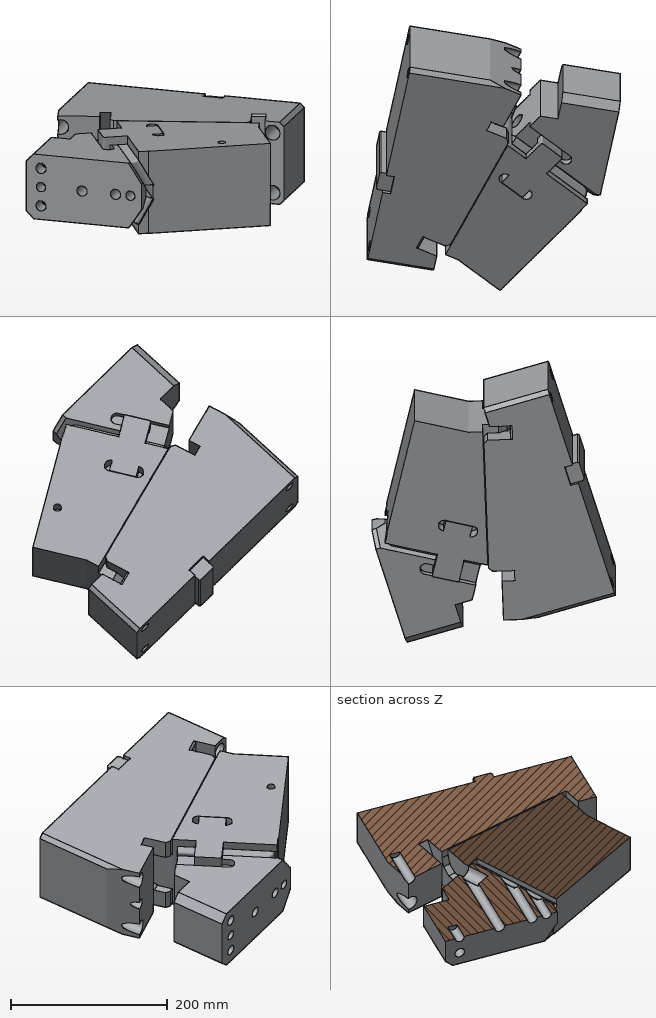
import cadquery as cq
import math

SIN_30 = 0.5
COS_30 = math.cos(math.radians(30))
TAN_30 = SIN_30 / COS_30
BEYOND = 612.0

BLOCK_ANGLE = math.radians(15)
DRIVE = cq.Plane(origin=(0, 0, 0), xDir=(SIN_30, -COS_30, 0), normal=(0, 0, 1))
SLIDE = cq.Plane(origin=(0, 0, 0), xDir=(math.cos(BLOCK_ANGLE), math.sin(BLOCK_ANGLE), 0), normal=(0, 0, 1))

HALF_HEIGHT = 55.0
BLOCK_LENGTH = 295.3
BLOCK_BACK_Y = 275.5
BLOCK_RIGHT_FRONT_Y = 189.5
BLOCK_CHAMFER = 5.5
NOSE_ALONG = 44.5
NOSE_OUT = 121.5
LEFT_SLOT_START = 98.0
LEFT_SLOT_END = 111.7
LEFT_SLOT_OUT = 138.0
RIGHT_SLOT_START = 291.5
RIGHT_SLOT_END = 310.0
RIGHT_SLOT_OUT = 139.2
RIGHT_SLOT_CHAMFER = 2.8
PAD_CHAMFER = 5.0

KEY_LEFT = 162.8
KEY_WIDTH = 26.0
KEY_SEAT_Y = 265.0
KEY_BACK_Y = 284.0
KEY_HALF_HEIGHT = 50.0
KEY_CHAMFER = 1.8

HOLE_INSET = 15.0
SCREW_RADIUS = 6.5
SCREW_HEAD_RADIUS = 9.8
SCREW_HEAD_SEAT_Y = 229.5
DOWEL_RADIUS = 6.7
DOWEL_END_Y = 183.5

RAIL_BASE_OUT = 104.0
RAIL_SIDE_OUT = 124.0
RAIL_BEVEL_OUT = 135.0
RAIL_TOP_OUT = 139.0
RAIL_HALF_HEIGHT = 29.0
RAIL_BEVEL_HALF = 21.5
RAIL_CROWN_HALF = 9.2
RAIL_GAP = 1.0

DRIVER_LEFT = 10.5
DRIVER_RIGHT = 165.2
DRIVER_HALF_HEIGHT = 43.5
DRIVER_CHAMFER = 10.0
DRIVER_STEP_X = 45.3
DRIVER_STEP_Y = 74.7
DRIVER_END_ALONG = -61.8
ROOF_EDGE_OUT = 131.0
ROOF_CREST_HALF = 7.0
BEVEL_END_Y = 6.0
SPRING_RADIUS = 10.0
SPRING_OUT = 133.5
SPRING_DEPTH = 30.5

FRONT_SCREW_RADIUS = 6.7
FRONT_DOWEL_RADIUS = 6.0
FRONT_COLUMN = 20.0
FRONT_COLUMN_SPACING = 25.0
FRONT_COLUMN_DEPTH = 24.5
FRONT_SCREWS = (75.0, 120.0)
FRONT_DOWEL = 139.8

SLIDER_FRONT_OUT = 143.2
SLIDER_FAR_OUT = 315.0
SLIDER_END_ALONG = 66.0
SLIDER_STEP = 1.0
SLIDER_STEP_OUT = 155.7
SLIDER_LEFT_ALONG = 121.0
SLIDER_RIGHT_ALONG = 303.2
SLIDER_HOLE_X = 245.5
SLIDER_HOLE_Y = 85.7
SLIDER_HOLE_RADIUS = 5.0
SLIDER_HOLE_DEPTH = 20.0

PLATE_START = -62.5
PLATE_END = 62.0
PLATE_THICKNESS = 10.7
PLATE_EDGE_Z = 38.5
PLATE_INNER_Z = 9.5
PLATE_END_RADIUS = 10.0
PLATE_EDGE_RADIUS = 3.0
LAND_OUT = 161.5
LAND_HALF = 8.5

STRAP_START = -38.5
STRAP_END = -3.7
STRAP_TIP_OUT = 112.0
STRAP_LIP = 8.5
STRAP_BOTTOM = 44.0
STRAP_CORNER = 2.0
STRAP_GAP = 0.5
SLOT_WIDTH = 14.7
SLOT_FLOOR = 33.7
DRIVER_SLOT_OUT = 108.5
DRIVER_SLOT_END = 13.0
SLIDER_SLOT_OUT = 176.2
SLIDER_SLOT_OVERRUN = 8.0


def at(frame, along, out):
    """The (x, y) of a place given in a guide frame."""
    point = frame.toWorldCoords((along, out, 0))
    return (point.x, point.y)


def x_on_line(frame, out, y):
    """X where the line of constant out passes a given Y."""
    return (out - y * frame.yDir.y) / frame.yDir.x


def y_on_end(frame, along, x):
    """Y where the line of constant along passes a given X."""
    return (along - x * frame.xDir.x) / frame.xDir.y


def where_frames_cross(slide_along, drive_out):
    """The (x, y) where a constant-along line of SLIDE meets a constant-out line of DRIVE."""
    a, b = SLIDE.xDir, DRIVE.yDir
    cross = a.x * b.y - a.y * b.x
    x = (slide_along * b.y - drive_out * a.y) / cross
    y = (drive_out * a.x - slide_along * b.x) / cross
    return (x, y)


def prism(outline, half_height):
    return cq.Workplane("XY").polyline(outline).close().extrude(half_height, both=True)


def mirrored_section(upper_half):
    return upper_half + [(first, -z) for first, z in reversed(upper_half)]


def along_guide(frame, section, start=-BEYOND, end=BEYOND):
    """Extrude an (out, z) section along a guide."""
    plane = cq.Plane(origin=frame.toWorldCoords((start, 0, 0)), xDir=frame.yDir, normal=frame.xDir)
    return cq.Workplane(plane).polyline(section).close().extrude(end - start)


def drive_box(along_start, along_end, out_start, out_end, bottom):
    """A box in the drive frame that reaches from bottom up to the top of the slider."""
    section = [(out_start, bottom), (out_end, bottom), (out_end, HALF_HEIGHT), (out_start, HALF_HEIGHT)]
    return along_guide(DRIVE, section, along_start, along_end)


def slot_end(along, out_centre):
    return (
        cq.Workplane("XY", origin=(*at(DRIVE, along, out_centre), SLOT_FLOOR))
        .circle(SLOT_WIDTH / 2)
        .extrude(HALF_HEIGHT - SLOT_FLOOR)
    )


def y_hole(x, z, radius, end):
    """A round hole along Y, from the front of the unit to end."""
    return cq.Workplane("XZ", origin=(x, 0, z)).circle(radius).extrude(-end)


def top_and_bottom(shape):
    return shape.union(shape.mirror("XY"))


def rail_section(gap):
    """The rail, grown by a gap, from the slide face up to its crown."""
    return mirrored_section([
        (0, RAIL_HALF_HEIGHT + gap),
        (RAIL_SIDE_OUT + gap, RAIL_HALF_HEIGHT + gap),
        (RAIL_BEVEL_OUT + gap, RAIL_BEVEL_HALF + gap),
        (RAIL_TOP_OUT + gap, RAIL_CROWN_HALF + gap),
    ])


def roof_out(z):
    """Out position of a driver roof flank at height z."""
    return ROOF_EDGE_OUT + (DRIVER_HALF_HEIGHT - z) * TAN_30


def block_body():
    pad_out = RAIL_BASE_OUT + RAIL_GAP
    right_lug_x = (RIGHT_SLOT_END - BLOCK_RIGHT_FRONT_Y * SLIDE.xDir.y) / SLIDE.xDir.x
    outline = [
        (0, BLOCK_BACK_Y),
        (BLOCK_LENGTH, BLOCK_BACK_Y),
        (BLOCK_LENGTH, BLOCK_RIGHT_FRONT_Y),
        (right_lug_x, BLOCK_RIGHT_FRONT_Y),
        at(SLIDE, RIGHT_SLOT_END, RIGHT_SLOT_OUT),
        at(SLIDE, RIGHT_SLOT_START, RIGHT_SLOT_OUT),
        at(SLIDE, RIGHT_SLOT_START, pad_out + PAD_CHAMFER),
        at(SLIDE, RIGHT_SLOT_START - PAD_CHAMFER, pad_out),
        at(SLIDE, LEFT_SLOT_END + PAD_CHAMFER, pad_out),
        at(SLIDE, LEFT_SLOT_END, pad_out + PAD_CHAMFER),
        at(SLIDE, LEFT_SLOT_END, LEFT_SLOT_OUT),
        at(SLIDE, LEFT_SLOT_START, LEFT_SLOT_OUT),
        at(SLIDE, LEFT_SLOT_START, NOSE_OUT),
        at(SLIDE, NOSE_ALONG, NOSE_OUT),
        (0, y_on_end(SLIDE, NOSE_ALONG, 0)),
    ]
    chamfered_bar = (
        cq.Workplane("XZ", origin=(BLOCK_LENGTH / 2, 0, 0))
        .rect(BLOCK_LENGTH, 2 * HALF_HEIGHT)
        .extrude(-BLOCK_BACK_Y)
        .edges("|Y")
        .chamfer(BLOCK_CHAMFER)
    )
    return prism(outline, HALF_HEIGHT).intersect(chamfered_bar)


def left_slot_undercut():
    """V that deepens the end of the left slot toward mid height."""
    apex = LEFT_SLOT_OUT + HALF_HEIGHT * TAN_30
    section = [(LEFT_SLOT_OUT, HALF_HEIGHT), (apex, 0), (LEFT_SLOT_OUT, -HALF_HEIGHT)]
    return along_guide(SLIDE, section, LEFT_SLOT_START, LEFT_SLOT_END)


def right_slot_chamfer():
    section = [
        (RIGHT_SLOT_OUT, HALF_HEIGHT),
        (RIGHT_SLOT_OUT + RIGHT_SLOT_CHAMFER, HALF_HEIGHT),
        (RIGHT_SLOT_OUT, HALF_HEIGHT - RIGHT_SLOT_CHAMFER),
    ]
    return top_and_bottom(along_guide(SLIDE, section, RIGHT_SLOT_START, RIGHT_SLOT_END))


def key_box(half_height):
    return cq.Workplane("XY", origin=(KEY_LEFT, KEY_SEAT_Y, 0)).box(
        KEY_WIDTH, KEY_BACK_Y - KEY_SEAT_Y, 2 * half_height, centered=(False, False, True)
    )


def make_block():
    block = block_body()
    block = block.cut(along_guide(SLIDE, rail_section(RAIL_GAP), LEFT_SLOT_END, RIGHT_SLOT_START))
    block = block.cut(left_slot_undercut()).cut(right_slot_chamfer())

    key = key_box(KEY_HALF_HEIGHT).edges("|Z and >Y").chamfer(KEY_CHAMFER)
    block = block.cut(key_box(HALF_HEIGHT)).union(key)

    screw_z = HALF_HEIGHT - HOLE_INSET
    for x in (HOLE_INSET, BLOCK_LENGTH - HOLE_INSET):
        for z in (-screw_z, screw_z):
            block = block.cut(y_hole(x, z, SCREW_RADIUS, BLOCK_BACK_Y))
            block = block.cut(y_hole(x, z, SCREW_HEAD_RADIUS, SCREW_HEAD_SEAT_Y))
    return block.cut(y_hole(HOLE_INSET, 0, DOWEL_RADIUS, DOWEL_END_Y))


def driver_body():
    """The outline in plan, trimmed by the roof and by the chamfers and bevels of its long edges."""
    far_corner = at(DRIVE, DRIVER_END_ALONG, SLIDER_FAR_OUT)
    outline = [
        (DRIVER_LEFT, 0),
        (DRIVER_RIGHT, 0),
        (DRIVER_RIGHT, far_corner[1]),
        far_corner,
        (DRIVER_STEP_X, y_on_end(DRIVE, DRIVER_END_ALONG, DRIVER_STEP_X)),
        (DRIVER_STEP_X, DRIVER_STEP_Y),
        (DRIVER_LEFT, DRIVER_STEP_Y),
    ]
    roof = mirrored_section([
        (-BEYOND, DRIVER_HALF_HEIGHT),
        (ROOF_EDGE_OUT, DRIVER_HALF_HEIGHT),
        (roof_out(ROOF_CREST_HALF), ROOF_CREST_HALF),
    ])
    bevel_x = x_on_line(DRIVE, ROOF_EDGE_OUT, BEVEL_END_Y)
    bevel_drop = (DRIVER_RIGHT - bevel_x) * DRIVE.yDir.x / TAN_30
    front = mirrored_section([
        (DRIVER_LEFT, DRIVER_HALF_HEIGHT - DRIVER_CHAMFER),
        (DRIVER_LEFT + DRIVER_CHAMFER, DRIVER_HALF_HEIGHT),
        (bevel_x, DRIVER_HALF_HEIGHT),
        (DRIVER_RIGHT, DRIVER_HALF_HEIGHT - bevel_drop),
    ])
    front_bar = cq.Workplane("XZ").polyline(front).close().extrude(-BEYOND)
    return prism(outline, DRIVER_HALF_HEIGHT).intersect(along_guide(DRIVE, roof)).intersect(front_bar)


def driver_strap_slot():
    """Round-ended slot for the strap lip, widened to the roof on the entry side of the strap."""
    end_centre = DRIVER_SLOT_END - SLOT_WIDTH / 2
    strap_middle = (STRAP_START + STRAP_END) / 2
    slot_out_end = DRIVER_SLOT_OUT + SLOT_WIDTH
    slot = drive_box(DRIVER_END_ALONG, end_centre, DRIVER_SLOT_OUT, slot_out_end, SLOT_FLOOR)
    entry = drive_box(DRIVER_END_ALONG, strap_middle, DRIVER_SLOT_OUT, SLIDER_FRONT_OUT, SLOT_FLOOR)
    return slot.union(slot_end(end_centre, DRIVER_SLOT_OUT + SLOT_WIDTH / 2)).union(entry)


def spring_hole():
    plane = cq.Plane(
        origin=DRIVE.toWorldCoords((DRIVER_END_ALONG, SPRING_OUT, 0)), xDir=DRIVE.yDir, normal=DRIVE.xDir
    )
    return cq.Workplane(plane).circle(SPRING_RADIUS).extrude(SPRING_DEPTH)


def make_driver():
    driver = driver_body().cut(top_and_bottom(driver_strap_slot())).cut(spring_hole())

    column_x = DRIVER_LEFT + FRONT_COLUMN
    for z in (-FRONT_COLUMN_SPACING, FRONT_COLUMN_SPACING):
        driver = driver.cut(y_hole(column_x, z, FRONT_SCREW_RADIUS, FRONT_COLUMN_DEPTH))
    driver = driver.cut(y_hole(column_x, 0, FRONT_DOWEL_RADIUS, FRONT_COLUMN_DEPTH))
    for inset in FRONT_SCREWS:
        driver = driver.cut(y_hole(DRIVER_LEFT + inset, 0, FRONT_SCREW_RADIUS, BEYOND))
    return driver.cut(y_hole(DRIVER_LEFT + FRONT_DOWEL, 0, FRONT_DOWEL_RADIUS, BEYOND))


PLATE_EDGE = (roof_out(PLATE_EDGE_Z), PLATE_EDGE_Z)
PLATE_BACK = (PLATE_EDGE[0] + PLATE_THICKNESS * COS_30, PLATE_EDGE_Z + PLATE_THICKNESS * SIN_30)
PLATE_BACK_END = (PLATE_BACK[0] + (PLATE_BACK[1] - PLATE_INNER_Z) * TAN_30, PLATE_INNER_Z)
PLATE_TIP = (roof_out(ROOF_CREST_HALF), ROOF_CREST_HALF)


def slider_body():
    outline = [
        where_frames_cross(SLIDER_LEFT_ALONG, SLIDER_FRONT_OUT),
        at(DRIVE, SLIDER_END_ALONG - SLIDER_STEP, SLIDER_FRONT_OUT),
        at(DRIVE, SLIDER_END_ALONG - SLIDER_STEP, SLIDER_STEP_OUT),
        at(DRIVE, SLIDER_END_ALONG, SLIDER_STEP_OUT),
        at(DRIVE, SLIDER_END_ALONG, SLIDER_FAR_OUT),
        where_frames_cross(SLIDER_RIGHT_ALONG, SLIDER_FAR_OUT),
        at(SLIDE, SLIDER_RIGHT_ALONG, RAIL_TOP_OUT),
        at(SLIDE, SLIDER_LEFT_ALONG, RAIL_TOP_OUT),
    ]
    base = mirrored_section([(-BEYOND, HALF_HEIGHT), (RAIL_BASE_OUT, HALF_HEIGHT)])
    below_block = along_guide(SLIDE, base).union(along_guide(SLIDE, rail_section(0)))
    return prism(outline, HALF_HEIGHT).intersect(below_block)


def plate_seat():
    """V opening that holds both plates, with a flat land between them; it stops at the plates' start."""
    half = [(0, PLATE_BACK[1]), PLATE_BACK, PLATE_BACK_END, (LAND_OUT, LAND_HALF)]
    return along_guide(DRIVE, mirrored_section(half), PLATE_START, BEYOND)


def wear_plate():
    plate = along_guide(DRIVE, [PLATE_EDGE, PLATE_BACK, PLATE_BACK_END, PLATE_TIP], PLATE_START, PLATE_END)
    face_middle = ((PLATE_EDGE[0] + PLATE_TIP[0]) / 2, (PLATE_EDGE[1] + PLATE_TIP[1]) / 2)
    end_edge = DRIVE.toWorldCoords((PLATE_END, *face_middle))
    plate = plate.edges(cq.selectors.NearestToPointSelector(end_edge.toTuple())).fillet(PLATE_END_RADIUS)
    long_edge = DRIVE.toWorldCoords(((PLATE_START + PLATE_END) / 2, *PLATE_EDGE))
    return plate.edges(cq.selectors.NearestToPointSelector(long_edge.toTuple())).fillet(PLATE_EDGE_RADIUS)


def slider_strap_slot():
    """Slot with a round end on each side of the strap."""
    start = STRAP_START - SLIDER_SLOT_OVERRUN + SLOT_WIDTH / 2
    end = STRAP_END + SLIDER_SLOT_OVERRUN - SLOT_WIDTH / 2
    centre_out = SLIDER_SLOT_OUT + SLOT_WIDTH / 2
    slot = drive_box(start, end, SLIDER_SLOT_OUT, SLIDER_SLOT_OUT + SLOT_WIDTH, SLOT_FLOOR)
    return slot.union(slot_end(start, centre_out)).union(slot_end(end, centre_out))


def strap():
    """Flat bar with a lip at the driver end and a foot in the slider slot."""
    foot_end = SLIDER_SLOT_OUT + SLOT_WIDTH - STRAP_GAP
    bar = drive_box(STRAP_START, STRAP_END, STRAP_TIP_OUT, foot_end, STRAP_BOTTOM)
    lip = drive_box(STRAP_START, STRAP_END, STRAP_TIP_OUT, STRAP_TIP_OUT + STRAP_LIP, SLOT_FLOOR)
    foot = drive_box(STRAP_START, STRAP_END, SLIDER_SLOT_OUT, foot_end, SLOT_FLOOR)
    tip_corners = cq.selectors.DirectionMinMaxSelector(DRIVE.yDir, directionMax=False)
    return bar.union(lip).union(foot).edges("|Z").edges(tip_corners).fillet(STRAP_CORNER)


def slider_hole():
    """Blind hole in the top with a drill point."""
    bottom = cq.Vector(SLIDER_HOLE_X, SLIDER_HOLE_Y, HALF_HEIGHT - SLIDER_HOLE_DEPTH)
    bore = cq.Solid.makeCylinder(SLIDER_HOLE_RADIUS, SLIDER_HOLE_DEPTH, bottom)
    point = cq.Solid.makeCone(SLIDER_HOLE_RADIUS, 0, SLIDER_HOLE_RADIUS * TAN_30, bottom, cq.Vector(0, 0, -1))
    return cq.Workplane(bore).union(cq.Workplane(point))


def make_slider():
    slider = slider_body().cut(plate_seat()).union(top_and_bottom(wear_plate()))
    slider = slider.cut(top_and_bottom(slider_strap_slot())).union(top_and_bottom(strap()))
    return slider.cut(slider_hole())


block = make_block()
driver = make_driver()
slider = make_slider()

result = cq.Compound.makeCompound([*block.solids().vals(), *driver.solids().vals(), *slider.solids().vals()])